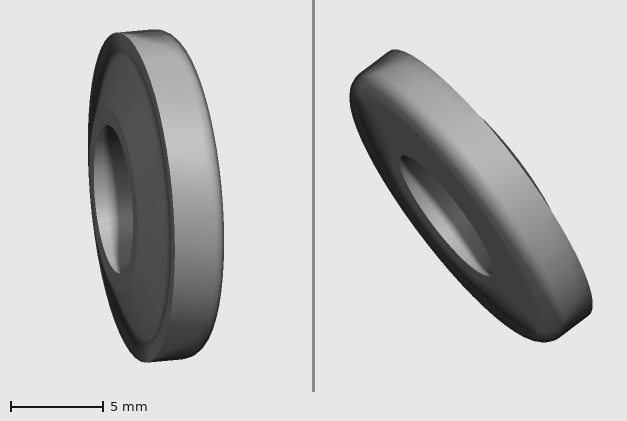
import cadquery as cq
import math

outer_diameter = 17.96
insert_diameter = 15.98
land_diameter = 9.99
bore_diameter = 8.08
total_thickness = 4.0
cone_height = 1.0

outer_radius = outer_diameter / 2
insert_radius = insert_diameter / 2
land_radius = land_diameter / 2
bore_radius = bore_diameter / 2
ring_thickness = total_thickness - cone_height
round_radius = outer_radius - insert_radius


def revolve_about_y(profile):
    """Turn a closed profile in the XY plane once around the Y axis."""
    return profile.close().revolve(360, (0, 0, 0), (0, 1, 0))


def make_ring():
    """Outer ring with a straight seat and a rounded back corner."""
    arc_offset = round_radius * math.sqrt(0.5)
    arc_middle = (insert_radius + arc_offset, -round_radius + arc_offset)
    profile = (
        cq.Workplane("XY")
        .moveTo(insert_radius, 0)
        .threePointArc(arc_middle, (outer_radius, -round_radius))
        .lineTo(outer_radius, -ring_thickness)
        .lineTo(insert_radius, -ring_thickness)
    )
    return revolve_about_y(profile)


def make_insert():
    """Bored insert that fills the ring and ends in a cone with a flat land."""
    profile = (
        cq.Workplane("XY")
        .moveTo(bore_radius, 0)
        .lineTo(insert_radius, 0)
        .lineTo(insert_radius, -ring_thickness)
        .lineTo(land_radius, -total_thickness)
        .lineTo(bore_radius, -total_thickness)
    )
    return revolve_about_y(profile)


ring = make_ring()
insert = make_insert()

result = cq.Compound.makeCompound([ring.val(), insert.val()])